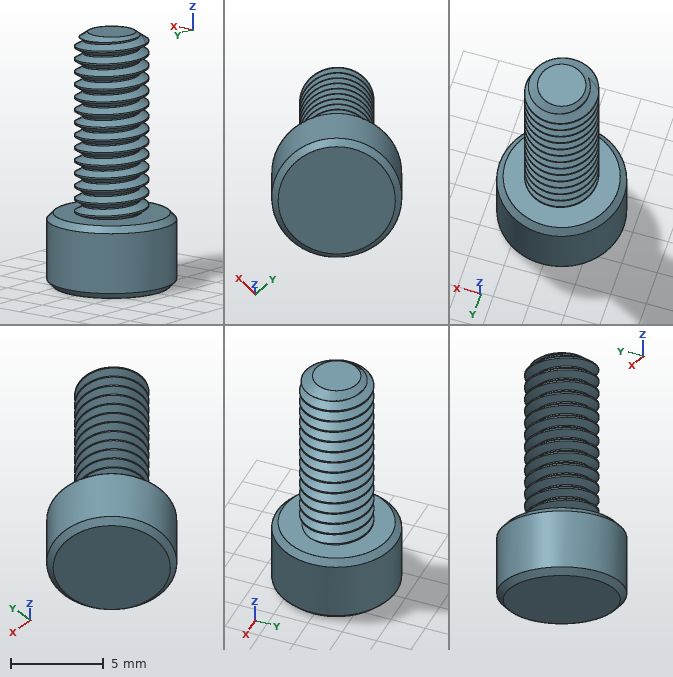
import cadquery as cq
import math

total_length = 14.0
head_diameter = 7.0
head_height = 4.0
head_chamfer = 0.35

thread_diameter = 4.0
root_diameter = 3.08
pitch = 0.7
crest_width = pitch / 8
flank_angle = 30.0
embed_depth = 0.04

tip_diameter = 2.6
tip_height = 0.48
envelope_clearance = 0.28

crest_radius = thread_diameter / 2
root_radius = root_diameter / 2


def make_head():
    """Cylindrical head with both rims chamfered, standing on Z = 0."""
    head = cq.Workplane("XY").circle(head_diameter / 2).extrude(head_height)
    return head.faces("<Z or >Z").chamfer(head_chamfer)


def make_thread_envelope():
    """Solid of revolution that bounds the thread above the head, with its conical end.

    It is wider than the thread, so that only the end plane, the cone and the head plane trim it.
    """
    outer_radius = crest_radius + envelope_clearance
    cone_slope = tip_height / (crest_radius - tip_diameter / 2)
    outer_drop = cone_slope * (outer_radius - tip_diameter / 2)
    return (
        cq.Workplane("XZ")
        .moveTo(0, head_height)
        .lineTo(outer_radius, head_height)
        .lineTo(outer_radius, total_length - outer_drop)
        .lineTo(tip_diameter / 2, total_length)
        .lineTo(0, total_length)
        .close()
        .revolve(360, (0, 0, 0), (0, 1, 0))
    )


def make_ridge():
    """Right-handed helical ridge; on the +X side one crest lies level with the top of the head."""
    start = head_height - pitch
    turns = math.ceil((total_length - start) / pitch) + 1
    inner_radius = root_radius - embed_depth
    half_crest = crest_width / 2
    half_base = half_crest + (crest_radius - inner_radius) * math.tan(math.radians(flank_angle))
    helix = cq.Wire.makeHelix(pitch, turns * pitch, root_radius, cq.Vector(0, 0, start))
    return (
        cq.Workplane("XZ")
        .moveTo(inner_radius, start - half_base)
        .lineTo(crest_radius, start - half_crest)
        .lineTo(crest_radius, start + half_crest)
        .lineTo(inner_radius, start + half_base)
        .close()
        .sweep(cq.Workplane(helix), isFrenet=True)
    )


def make_shank():
    """Core cylinder joined with the helical ridge, trimmed to the envelope."""
    core = cq.Workplane("XY").workplane(offset=head_height - pitch)
    core = core.circle(root_radius).extrude(total_length - head_height + 2 * pitch)
    return core.union(make_ridge()).intersect(make_thread_envelope())


result = make_head().union(make_shank())